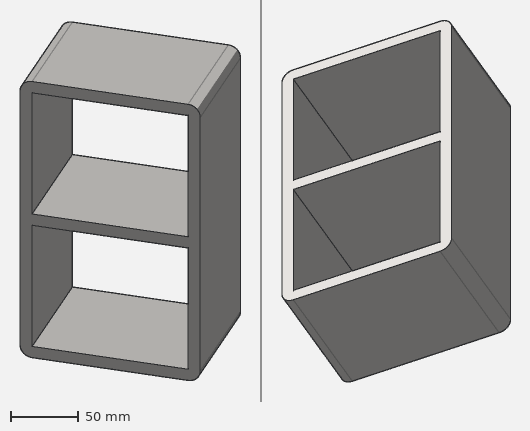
import cadquery as cq

width = 140.5
depth = 100.0
height = 232.0

wall = 9.5
corner_radius = wall

opening_width = width - 2 * wall
opening_height = (height - 3 * wall) / 2
opening_offset = (opening_height + wall) / 2


def outer_body():
    """Solid block with its four long edges along Y rounded."""
    return cq.Workplane("XY").box(width, depth, height).edges("|Y").fillet(corner_radius)


def compartment(center_z):
    """Square-cornered opening running through the full depth."""
    return cq.Workplane("XY").box(opening_width, depth, opening_height).translate((0, 0, center_z))


result = outer_body()
for center_z in (-opening_offset, opening_offset):
    result = result.cut(compartment(center_z))